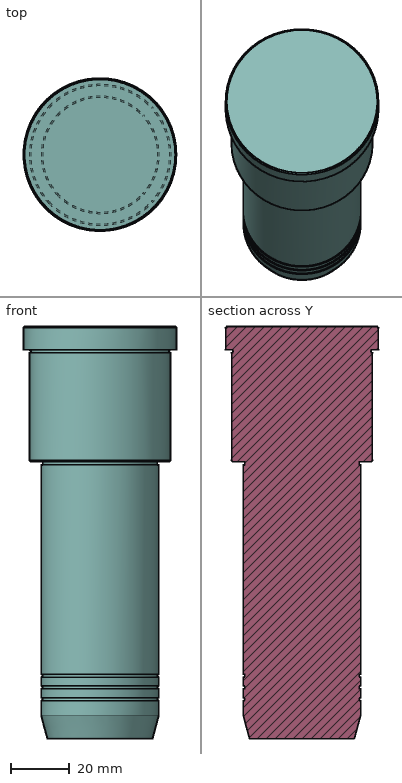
import cadquery as cq
import math

total_length = 140.0
head_height = 8.0
sleeve_length = 38.0
tip_height = 8.0
head_base = total_length - head_height
sleeve_base = head_base - sleeve_length

head_radius = 26.0
sleeve_radius = 24.0
pin_radius = 20.0

tip_angle = 15.0
tip_radius = pin_radius - tip_height * math.tan(math.radians(tip_angle))

head_chamfer = 0.5
sleeve_chamfer = 0.5
tip_fillet = 0.5

groove_width = 1.0
relief_depth = 0.5
ring_groove_count = 3
ring_groove_pitch = 4.0
first_ring_groove_base = 13.0


def make_body():
    """Revolve the half outline of tip, pin, sleeve and head about Z, then round the tip edge."""
    body = (
        cq.Workplane("XZ")
        .moveTo(0, 0)
        .lineTo(tip_radius, 0)
        .lineTo(pin_radius, tip_height)
        .lineTo(pin_radius, sleeve_base)
        .lineTo(sleeve_radius - sleeve_chamfer, sleeve_base)
        .lineTo(sleeve_radius, sleeve_base + sleeve_chamfer)
        .lineTo(sleeve_radius, head_base)
        .lineTo(head_radius, head_base)
        .lineTo(head_radius, total_length - head_chamfer)
        .lineTo(head_radius - head_chamfer, total_length)
        .lineTo(0, total_length)
        .close()
        .revolve(360, (0, 0, 0), (0, 1, 0))
    )
    return body.faces("<Z").edges().fillet(tip_fillet)


def cut_round_groove(body, shaft_radius, base):
    """Cut a half-round ring groove, drawn as two quarter arcs, into a shaft from height base up."""
    groove_radius = groove_width / 2
    center_height = base + groove_radius
    arc_offset = groove_radius * math.sqrt(0.5)
    ring = (
        cq.Workplane("XZ")
        .moveTo(shaft_radius, base)
        .threePointArc(
            (shaft_radius - arc_offset, center_height - arc_offset),
            (shaft_radius - groove_radius, center_height),
        )
        .threePointArc(
            (shaft_radius - arc_offset, center_height + arc_offset),
            (shaft_radius, base + groove_width),
        )
        .close()
        .revolve(360, (0, 0, 0), (0, 1, 0))
    )
    return body.cut(ring)


def cut_square_groove(body, shaft_radius, base):
    """Cut a square ring groove into a shaft, starting at height base."""
    ring = (
        cq.Workplane("XY", origin=(0, 0, base))
        .circle(shaft_radius)
        .circle(shaft_radius - relief_depth)
        .extrude(groove_width)
    )
    return body.cut(ring)


result = make_body()

result = cut_square_groove(result, pin_radius, sleeve_base - groove_width)
result = cut_round_groove(result, sleeve_radius, head_base - groove_width)

for index in range(ring_groove_count):
    groove_base = first_ring_groove_base + index * ring_groove_pitch
    result = cut_round_groove(result, pin_radius, groove_base)